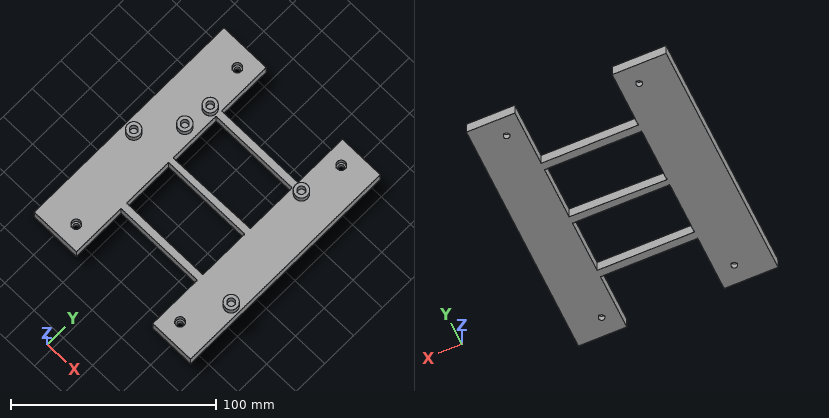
import cadquery as cq

LENGTH_X = 107.0
LENGTH_Y = 132.0
PLATE_THICKNESS = 8.0

LEFT_RAIL_WIDTH = 29.0
RIGHT_RAIL_WIDTH = 26.0
RIGHT_RAIL_X = LENGTH_X - RIGHT_RAIL_WIDTH

END_RIB_WIDTH = 4.0
FRONT_RIB_Y = 31.0
BACK_RIB_Y = 97.0
MIDDLE_RIB_Y = 64.0
MIDDLE_RIB_LEFT_WIDTH = 3.3
MIDDLE_RIB_RIGHT_WIDTH = 4.0

MOUNT_HOLE_DIAMETER = 3.2
MOUNT_RECESS_DIAMETER = 5.2
MOUNT_RECESS_DEPTH = 4.0
MOUNT_XS = (19.0, 90.0)
MOUNT_EDGE_DISTANCE = 10.0
MOUNT_YS = (MOUNT_EDGE_DISTANCE, LENGTH_Y - MOUNT_EDGE_DISTANCE)

STANDOFF_DIAMETER = 8.0
STANDOFF_BORE_DIAMETER = 4.3
STANDOFF_HEIGHT = 5.0
STANDOFF_CENTRES = [
    (24.05, 98.0),
    (86.2, 98.2),
    (21.87, 82.57),
    (6.2, 63.0),
    (101.84, 33.5),
]


def make_block(x, y, width, length):
    """Full-thickness block with its lower left corner at (x, y)."""
    return cq.Workplane("XY").box(width, length, PLATE_THICKNESS, centered=False).translate((x, y, 0))


def make_rails():
    left_rail = make_block(0, 0, LEFT_RAIL_WIDTH, LENGTH_Y)
    right_rail = make_block(RIGHT_RAIL_X, 0, RIGHT_RAIL_WIDTH, LENGTH_Y)
    return left_rail.add(right_rail).combine()


def make_rib(y, left_width, right_width):
    """Rib with a straight front face at y, as wide at each end as given."""
    return (
        cq.Workplane("XY")
        .moveTo(LEFT_RAIL_WIDTH, y)
        .lineTo(RIGHT_RAIL_X, y)
        .lineTo(RIGHT_RAIL_X, y + right_width)
        .lineTo(LEFT_RAIL_WIDTH, y + left_width)
        .close()
        .extrude(PLATE_THICKNESS)
    )


def make_standoffs():
    return (
        cq.Workplane("XY", origin=(0, 0, PLATE_THICKNESS))
        .pushPoints(STANDOFF_CENTRES)
        .circle(STANDOFF_DIAMETER / 2)
        .circle(STANDOFF_BORE_DIAMETER / 2)
        .extrude(STANDOFF_HEIGHT)
    )


def cut_mounting_holes(plate):
    centres = [(x, y) for x in MOUNT_XS for y in MOUNT_YS]
    return (
        plate.copyWorkplane(cq.Workplane("XY", origin=(0, 0, PLATE_THICKNESS)))
        .pushPoints(centres)
        .cboreHole(MOUNT_HOLE_DIAMETER, MOUNT_RECESS_DIAMETER, MOUNT_RECESS_DEPTH)
    )


plate = make_rails()
for rib_y in (FRONT_RIB_Y, BACK_RIB_Y):
    plate = plate.union(make_rib(rib_y, END_RIB_WIDTH, END_RIB_WIDTH))
plate = plate.union(make_rib(MIDDLE_RIB_Y, MIDDLE_RIB_LEFT_WIDTH, MIDDLE_RIB_RIGHT_WIDTH))
plate = cut_mounting_holes(plate)

result = plate.union(make_standoffs())